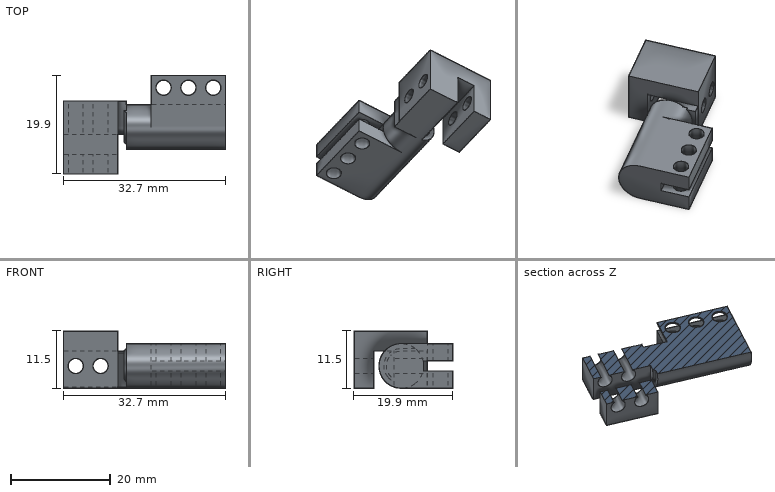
import cadquery as cq
import math

barrel_radius = 4.5
barrel_length = 20.0

block_length = 11.0
block_top = 7.0
block_back = 5.26
slot_top = 3.0
slot_width = 4.0
leg_thickness = 4.0
back_leg_front = -1.5
slot_front = back_leg_front - slot_width
block_front = slot_front - leg_thickness

neck_length = 1.67
neck_top = 3.0
neck_back = 5.2
shoulder_size = 0.5

plate_length = 15.0
plate_back = 10.4
plate_gap = 2.0

hole_diameter = 3.0
hole_pitch = 5.0
hole_edge_distance = 2.5
block_hole_count = 2
plate_hole_count = 3

barrel_start = block_length + neck_length
part_length = barrel_start + barrel_length
plate_start = part_length - plate_length


def box(x_range, y_range, z_range):
    """Box between two limits on each axis."""
    size = [limits[1] - limits[0] for limits in (x_range, y_range, z_range)]
    corner = (x_range[0], y_range[0], z_range[0])
    return cq.Workplane("XY").box(*size, centered=False).translate(corner)


def section_at(x):
    """YZ workplane at the given X, with local axes along Y and Z."""
    return cq.Workplane("YZ", origin=(x, 0, 0))


def point_on_circle(radius, y, side):
    """Point of a circle about the barrel axis; side is +1 above, -1 below."""
    return (y, side * math.sqrt(radius**2 - y**2))


def middle_of_arc(radius, y, side):
    """Point halfway along the arc between Y = 0 and the given Y."""
    half_angle = math.asin(y / radius) / 2
    return (radius * math.sin(half_angle), side * radius * math.cos(half_angle))


def make_block():
    """Clevis block whose back leg is rounded below to follow the barrel."""
    return (
        section_at(0)
        .moveTo(block_back, block_top)
        .lineTo(block_front, block_top)
        .lineTo(block_front, -barrel_radius)
        .lineTo(slot_front, -barrel_radius)
        .lineTo(slot_front, slot_top)
        .lineTo(back_leg_front, slot_top)
        .lineTo(*point_on_circle(barrel_radius, back_leg_front, -1))
        .threePointArc(middle_of_arc(barrel_radius, back_leg_front, -1), (0, -barrel_radius))
        .lineTo(block_back, -barrel_radius)
        .close()
        .extrude(block_length)
    )


def make_neck():
    """Neck with a flat top that rounds over towards the front."""
    return (
        section_at(block_length)
        .moveTo(neck_back, neck_top)
        .lineTo(0, neck_top)
        .threePointArc(
            middle_of_arc(neck_top, back_leg_front, 1),
            point_on_circle(neck_top, back_leg_front, 1),
        )
        .lineTo(*point_on_circle(barrel_radius, back_leg_front, -1))
        .threePointArc(middle_of_arc(barrel_radius, back_leg_front, -1), (0, -barrel_radius))
        .lineTo(neck_back, -barrel_radius)
        .close()
        .extrude(neck_length)
    )


def make_shoulder():
    """Sloped shoulder from neck to barrel: a cone in front, a straight ramp behind."""
    shoulder_start = barrel_start - shoulder_size
    cone = (
        section_at(shoulder_start)
        .circle(neck_top)
        .workplane(offset=shoulder_size)
        .circle(neck_top + shoulder_size)
        .loft(ruled=True)
    )
    ramp = (
        cq.Workplane("XZ")
        .moveTo(shoulder_start, 0)
        .lineTo(shoulder_start, neck_top)
        .lineTo(barrel_start, neck_top + shoulder_size)
        .lineTo(barrel_start, 0)
        .close()
        .extrude(-barrel_radius)
    )
    barrel_envelope = section_at(shoulder_start).circle(barrel_radius).extrude(shoulder_size)
    return cone.union(ramp.intersect(barrel_envelope))


def make_barrel():
    """Plain cylinder from the neck to the +X end."""
    return section_at(barrel_start).circle(barrel_radius).extrude(barrel_length)


def make_plate():
    """Two flanges tangent to the barrel, separated by a gap that ends at the barrel radius."""
    x_range = (plate_start, part_length)
    plate = box(x_range, (0, plate_back), (-barrel_radius, barrel_radius))
    gap = box(x_range, (barrel_radius, plate_back), (-plate_gap / 2, plate_gap / 2))
    return plate.cut(gap)


def hole_positions(start, count):
    """X positions of evenly pitched holes after the given edge."""
    return [start + hole_edge_distance + index * hole_pitch for index in range(count)]


def make_block_holes():
    """Holes along Y through both legs of the block."""
    points = [(x, 0) for x in hole_positions(0, block_hole_count)]
    return (
        cq.Workplane("XZ", origin=(0, block_front, 0))
        .pushPoints(points)
        .circle(hole_diameter / 2)
        .extrude(block_front - block_back)
    )


def make_plate_holes():
    """Holes along Z through both flanges of the plate."""
    hole_y = plate_back - hole_edge_distance
    points = [(x, hole_y) for x in hole_positions(plate_start, plate_hole_count)]
    return (
        cq.Workplane("XY", origin=(0, 0, -barrel_radius))
        .pushPoints(points)
        .circle(hole_diameter / 2)
        .extrude(2 * barrel_radius)
    )


result = (
    make_block()
    .union(make_neck())
    .union(make_barrel())
    .union(make_shoulder())
    .union(make_plate())
    .cut(make_block_holes())
    .cut(make_plate_holes())
)